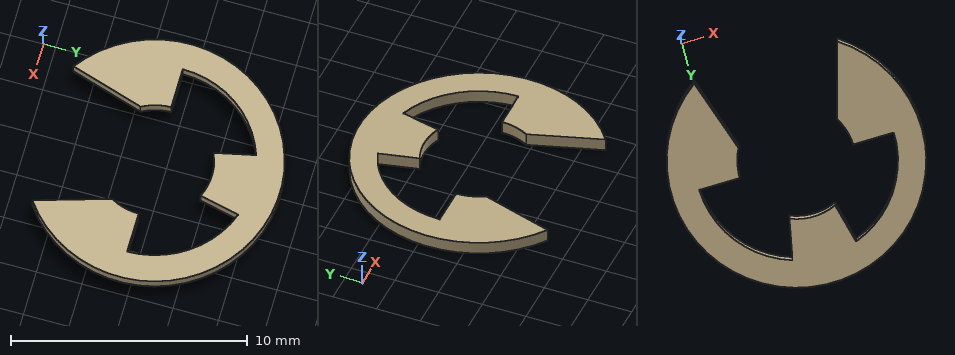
import cadquery as cq
import math

thickness = 0.6
outer_radius = 5.48
recess_radius = 4.29
shaft_radius = 2.5
mouth_depth = 4.48
side_tip_angle = 30.0
lug_tip_half_width = 1.01
lug_root_half_width = 1.4


def on_circle(radius, x):
    """Point in the upper half of a circle at the given x."""
    return (x, math.sqrt(radius**2 - x**2))


def polar(radius, degrees):
    """Point on a circle at an angle from +X."""
    angle = math.radians(degrees)
    return (radius * math.cos(angle), radius * math.sin(angle))


def mirrored(point):
    """Same point on the other side of the YZ plane."""
    return (-point[0], point[1])


def middle_of_arc(radius, end):
    """Point halfway along the arc from the +X axis to the end point."""
    return polar(radius, math.degrees(math.atan2(end[1], end[0])) / 2)


mouth_corner = (math.sqrt(outer_radius**2 - mouth_depth**2), -mouth_depth)
side_tip_low = polar(shaft_radius, -side_tip_angle)
side_tip_high = (shaft_radius, 0)
side_tip_middle = middle_of_arc(shaft_radius, side_tip_low)
recess_low = (recess_radius, 0)
recess_high = on_circle(recess_radius, lug_root_half_width)
recess_middle = middle_of_arc(recess_radius, recess_high)
lug_tip = on_circle(shaft_radius, lug_tip_half_width)

result = (
    cq.Workplane("XY")
    .moveTo(*mouth_corner)
    .threePointArc((0, outer_radius), mirrored(mouth_corner))
    .lineTo(*mirrored(side_tip_low))
    .threePointArc(mirrored(side_tip_middle), mirrored(side_tip_high))
    .lineTo(*mirrored(recess_low))
    .threePointArc(mirrored(recess_middle), mirrored(recess_high))
    .lineTo(*mirrored(lug_tip))
    .threePointArc((0, shaft_radius), lug_tip)
    .lineTo(*recess_high)
    .threePointArc(recess_middle, recess_low)
    .lineTo(*side_tip_high)
    .threePointArc(side_tip_middle, side_tip_low)
    .close()
    .extrude(thickness)
)